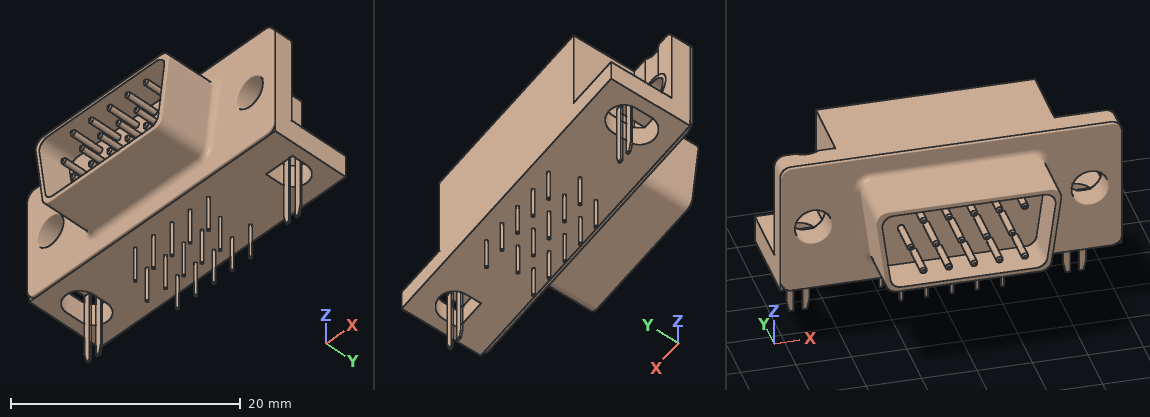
import cadquery as cq
import math


width = 30.8
height = 12.55
flange_thickness = 2.0
rear_depth = 6.55
rear_y = flange_thickness + rear_depth
block_width = 19.77
slab_height = 2.5
corner_radius = 1.0

mount_x = 12.47
mount_z = height / 2
mount_diameter = 3.3
sleeve_diameter = 4.1
slot_front_y = 3.33
slot_rear_y = 5.0

plate_thickness = 0.3
shell_length = 5.82
shell_front_y = -plate_thickness - shell_length
shell_height = 8.32
shell_mid_width = 15.85
shell_side_angle = 7.7
shell_corner_radius = 1.02
shell_wall = 0.45
shell_root_radius = 0.62
edge_radius = 0.1

insert_front_y = -2.43

pins_per_row = 5
pin_row_span = 9.15
pin_pitch = pin_row_span / (pins_per_row - 1)
row_stagger = pin_pitch / 4
row_pitch = 2.55
pin_diameter = 0.6
pin_front_y = -5.9
pin_tip_chamfer = 0.15
tail_diameter = 0.3
tail_length = 3.9
tail_tip_chamfer = 0.1
tail_middle_y = 4.37
embed_depth = 0.62

bracket_width = 2.03
bracket_thickness = 0.2
bracket_rear_y = 5.05
bracket_top_z = 4.65
leg_length = 5.35
leg_gap = 0.8
leg_tip_height = 0.92
leg_tip_inset = 0.22


def box(x_range, y_range, z_range):
    """Axis-aligned box between the given limits."""
    size = [high - low for low, high in (x_range, y_range, z_range)]
    corner = (x_range[0], y_range[0], z_range[0])
    return cq.Workplane("XY").box(*size, centered=False).translate(corner)


def rounded_trapezoid(inset, front_y, back_y):
    """Prism along Y with the D-shaped outline, moved inwards by inset."""
    slope = math.tan(math.radians(shell_side_angle))
    half_height = shell_height / 2 - inset
    half_middle = shell_mid_width / 2 - inset * math.hypot(1, slope)
    half_top = half_middle + half_height * slope
    half_bottom = half_middle - half_height * slope
    outline = [
        (-half_top, half_height),
        (half_top, half_height),
        (half_bottom, -half_height),
        (-half_bottom, -half_height),
    ]
    return (
        cq.Workplane("XZ", origin=(0, back_y, mount_z))
        .polyline(outline)
        .close()
        .extrude(back_y - front_y)
        .edges("|Y")
        .fillet(shell_corner_radius)
    )


def mount_cylinders(diameter, front_y, back_y):
    """Pair of cylinders along Y at the mounting positions."""
    return (
        cq.Workplane("XZ", origin=(0, back_y, mount_z))
        .pushPoints([(-mount_x, 0), (mount_x, 0)])
        .circle(diameter / 2)
        .extrude(back_y - front_y)
    )


def foot_slots():
    """Slots with a round rear end and a flat front end, cut down through the foot slabs."""
    radius = mount_diameter / 2
    slots = cq.Workplane("XY")
    for x in (-mount_x, mount_x):
        straight = box((x - radius, x + radius), (slot_front_y, slot_rear_y), (0, slab_height))
        rear_end = cq.Workplane("XY").center(x, slot_rear_y).circle(radius).extrude(slab_height)
        slots = slots.union(straight).union(rear_end)
    return slots


def left_slot_front_end():
    """Round front end of the left slot, which also notches the flange over its full height."""
    return cq.Workplane("XY").center(-mount_x, slot_front_y).circle(mount_diameter / 2).extrude(height)


def moulding():
    """Flange, rear block, foot slabs and insert, with the sleeve seats and slots."""
    flange = box((-width / 2, width / 2), (0, flange_thickness), (0, height))
    flange = flange.edges("|Y and >Z").fillet(corner_radius)
    block = box((-block_width / 2, block_width / 2), (0, rear_y), (0, height))
    slab = box((-width / 2, width / 2), (0, rear_y), (0, slab_height))
    insert = rounded_trapezoid(shell_wall, insert_front_y, embed_depth)
    body = flange.union(block).union(slab).union(insert)
    sleeve_seats = mount_cylinders(sleeve_diameter, 0, flange_thickness)
    return body.cut(sleeve_seats).cut(foot_slots()).cut(left_slot_front_end())


def contact_pins():
    """Three staggered rows of contacts in front and three rows of solder tails underneath."""
    pins = []
    for row in (-1, 0, 1):
        shift = -row_stagger if row == 0 else row_stagger
        for column in range(pins_per_row):
            x = shift + (column - (pins_per_row - 1) / 2) * pin_pitch
            contact = (
                cq.Workplane("XZ", origin=(x, insert_front_y + embed_depth, mount_z + row * row_pitch))
                .circle(pin_diameter / 2)
                .extrude(insert_front_y + embed_depth - pin_front_y)
                .faces("<Y")
                .chamfer(pin_tip_chamfer)
            )
            tail = (
                cq.Workplane("XY", origin=(x, tail_middle_y + row * row_pitch, -tail_length))
                .circle(tail_diameter / 2)
                .extrude(tail_length + embed_depth)
                .faces("<Z")
                .chamfer(tail_tip_chamfer)
            )
            pins += [contact, tail]
    return pins


def bracket(x):
    """Bent strip against the flange and the slab, with two tapered legs through the slot."""
    half = bracket_width / 2
    sides = (x - half, x + half)
    upright_back_y = flange_thickness + bracket_thickness
    foot_top_z = slab_height + bracket_thickness
    upright = box(sides, (flange_thickness, upright_back_y), (slab_height, bracket_top_z))
    foot = box(sides, (flange_thickness, bracket_rear_y), (slab_height, foot_top_z))
    strip = upright.union(foot)
    for side in (-1, 1):
        outline = [
            (side * leg_gap / 2, slab_height),
            (side * half, slab_height),
            (side * half, leg_tip_height - leg_length),
            (side * (half - leg_tip_inset), -leg_length),
            (side * leg_gap / 2, -leg_length),
        ]
        leg = (
            cq.Workplane("XZ", origin=(x, bracket_rear_y, 0))
            .polyline(outline)
            .close()
            .extrude(bracket_thickness)
        )
        strip = strip.union(leg)
    return strip


def make_housing():
    """Moulding joined with its contacts and board locks."""
    body = moulding()
    for pin in contact_pins():
        body = body.union(pin)
    for x in (-mount_x, mount_x):
        body = body.union(bracket(x))
    return body


def make_shell():
    """Thin plate with the open D-shaped shroud in front and a sleeve behind each mounting hole."""
    plate = box((-width / 2, width / 2), (-plate_thickness, 0), (0, height))
    plate = plate.edges("|Y").fillet(corner_radius)
    sleeves = mount_cylinders(sleeve_diameter, -plate_thickness, flange_thickness)
    bores = mount_cylinders(mount_diameter, -plate_thickness, flange_thickness)
    plate = plate.union(sleeves).cut(bores)
    plate = plate.faces("<Y").edges().fillet(edge_radius)
    shroud = rounded_trapezoid(0, shell_front_y, -plate_thickness / 2)
    shroud = shroud.faces("<Y").edges().fillet(edge_radius)
    shell = plate.union(shroud)
    root_zone = cq.selectors.BoxSelector(
        (mount_diameter - mount_x, -plate_thickness - edge_radius, corner_radius),
        (mount_x - mount_diameter, -plate_thickness + edge_radius, height - corner_radius),
    )
    shell = shell.edges(root_zone).fillet(shell_root_radius)
    return shell.cut(rounded_trapezoid(shell_wall, shell_front_y, 0))


housing = make_housing()
shell = make_shell()
result = cq.Compound.makeCompound([housing.val(), shell.val()])